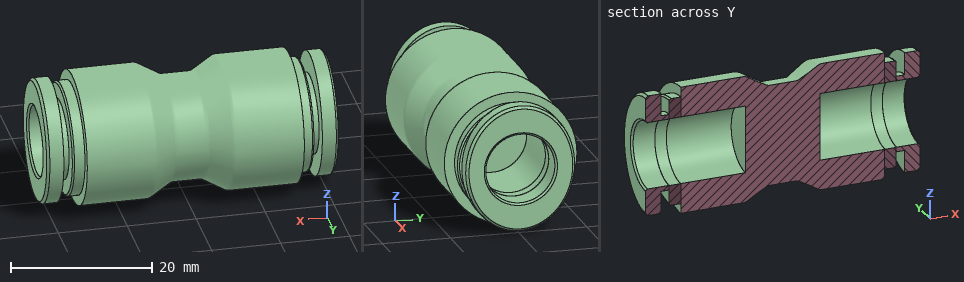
import cadquery as cq
import math

BUTTON_FACE_X = 21.15
FLANGE_BACK_X = 18.75
COLLAR_FACE_X = 17.5
HOUSING_FACE_X = 15.75
SHOULDER_X = 5.75
END_ANGLES = (0, 180)

HOUSING_DIAMETER = 19.5
WAIST_DIAMETER = 15.5
WAIST_ANGLE = 30.0
WAIST_FILLET = 1.0
TUBE_BORE_DIAMETER = 10.2
BORE_FLOOR_X = SHOULDER_X

COLLAR_DIAMETER = 16.5
COLLAR_CHAMFER = 0.25

FLANGE_WIDTH = 16.0
FLANGE_HEIGHT = 18.5
FLANGE_CHAMFER = 0.4
STEM_DIAMETER = 11.7
BUTTON_BORE_DIAMETER = 10.15
BORE_CHAMFER = 0.3


def cylinder_along_x(start_x, end_x, diameter):
    """Solid cylinder on the X axis between two X positions."""
    return (
        cq.Workplane("YZ", origin=(start_x, 0, 0))
        .circle(diameter / 2)
        .extrude(end_x - start_x)
    )


def placed_at_end(body, end_angle):
    """Copy of a right-hand body turned about Z: 0 keeps it at +X, 180 puts it at -X."""
    return body.rotate((0, 0, 0), (0, 0, 1), end_angle)


def make_housing():
    """Waisted cylinder with a blind tube bore from each end."""
    outer_radius = HOUSING_DIAMETER / 2
    waist_radius = WAIST_DIAMETER / 2
    cone_length = (outer_radius - waist_radius) / math.tan(math.radians(WAIST_ANGLE))
    waist_end_x = SHOULDER_X - cone_length

    housing = (
        cq.Workplane("XY")
        .moveTo(-HOUSING_FACE_X, 0)
        .lineTo(-HOUSING_FACE_X, outer_radius)
        .lineTo(-SHOULDER_X, outer_radius)
        .lineTo(-waist_end_x, waist_radius)
        .lineTo(waist_end_x, waist_radius)
        .lineTo(SHOULDER_X, outer_radius)
        .lineTo(HOUSING_FACE_X, outer_radius)
        .lineTo(HOUSING_FACE_X, 0)
        .close()
        .revolve(360, (0, 0, 0), (1, 0, 0))
    )

    cone_zone = cq.selectors.BoxSelector(
        (-HOUSING_FACE_X / 2, -HOUSING_DIAMETER, -HOUSING_DIAMETER),
        (HOUSING_FACE_X / 2, HOUSING_DIAMETER, HOUSING_DIAMETER),
    )
    housing = housing.edges("%CIRCLE").edges(cone_zone).fillet(WAIST_FILLET)

    right_bore = cylinder_along_x(BORE_FLOOR_X, HOUSING_FACE_X, TUBE_BORE_DIAMETER)
    for end_angle in END_ANGLES:
        housing = housing.cut(placed_at_end(right_bore, end_angle))
    return housing


def make_right_collar():
    """Ring on the housing end face, chamfered on its outer rim."""
    collar = cylinder_along_x(HOUSING_FACE_X, COLLAR_FACE_X, COLLAR_DIAMETER)
    collar = collar.faces(">X").edges().chamfer(COLLAR_CHAMFER)
    return collar.cut(cylinder_along_x(HOUSING_FACE_X, COLLAR_FACE_X, TUBE_BORE_DIAMETER))


def make_right_button():
    """Release button: short round stem, elliptical flange and a through bore."""
    flange = (
        cq.Workplane("YZ", origin=(FLANGE_BACK_X, 0, 0))
        .ellipse(FLANGE_WIDTH / 2, FLANGE_HEIGHT / 2)
        .extrude(BUTTON_FACE_X - FLANGE_BACK_X)
        .faces(">X")
        .edges()
        .chamfer(FLANGE_CHAMFER)
    )
    stem = cylinder_along_x(COLLAR_FACE_X, FLANGE_BACK_X, STEM_DIAMETER)
    bore = cylinder_along_x(COLLAR_FACE_X, BUTTON_FACE_X, BUTTON_BORE_DIAMETER)
    button = flange.union(stem).cut(bore)

    bore_mouth = button.faces(">X").edges("%CIRCLE")
    return bore_mouth.chamfer(BORE_CHAMFER)


housing = make_housing()

collars = []
buttons = []
for end_angle in END_ANGLES:
    collars.append(placed_at_end(make_right_collar(), end_angle))
    buttons.append(placed_at_end(make_right_button(), end_angle))

result = cq.Compound.makeCompound(
    [
        housing.val(),
        *[collar.val() for collar in collars],
        *[button.val() for button in buttons],
    ]
)